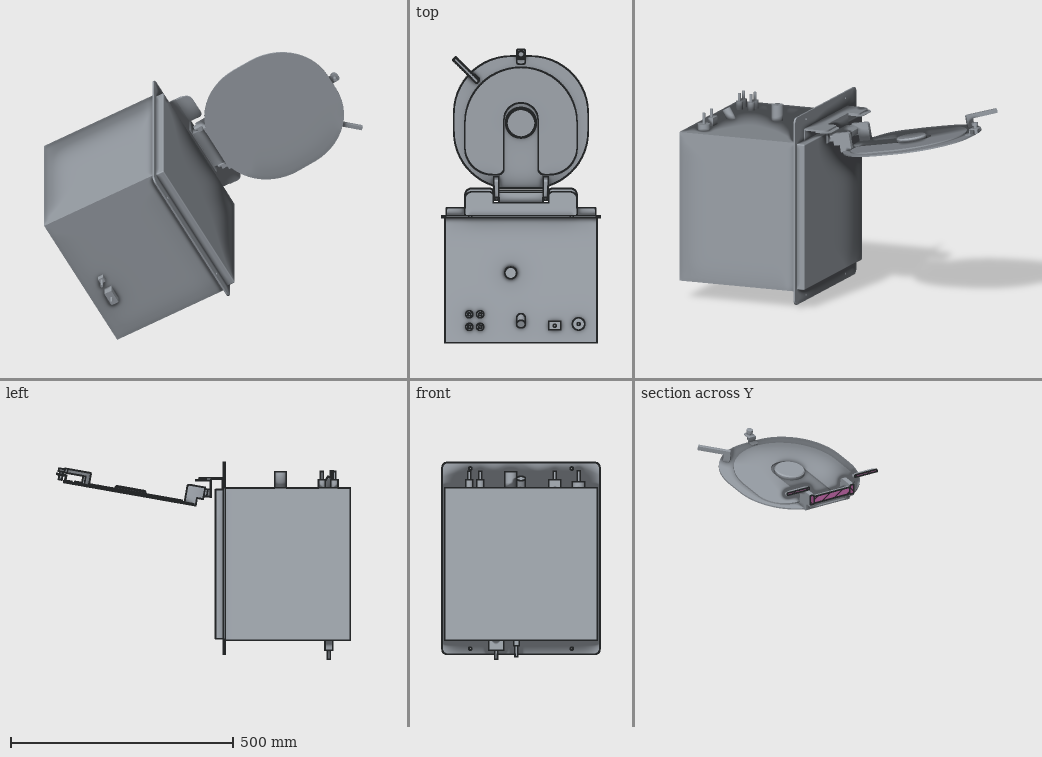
import cadquery as cq
import math


BOX_SIZE = 343.0
BOX_DEPTH = 281.5
PLATE_WIDTH = 355.5
PLATE_HEIGHT = 432.0
PLATE_THICKNESS = 4.0
PLATE_DROP = 32.0
PLATE_CORNER = 12.5
HOLE_DIAMETER = 6.0
HOLE_SPACING = 228.5
HOLE_LOW_Z = -18.5
HOLE_HIGH_Z = 386.5
FRONT_INSET = 3.0
FRONT_Y = 22.5
FRONT_FILLET = 2.5

SHELF_HALF = 126.0
SHELF_TOP = 366.0
SHELF_THICKNESS = 4.0
SHELF_Y = 58.0
SHELF_BOTTOM = SHELF_TOP - SHELF_THICKNESS
LIP_Y = 66.0
LIP_THICKNESS = 2.5
LIP_SLOPE_DROP = 1.0
SHELF_OUTER_CORNER = 16.0
SHELF_NOTCH_CORNER = 9.0
NOTCH_HALF = 62.0
FLANGE_THICKNESS = 2.5
WALL_FRONT = 34.0
WALL_THICKNESS = 2.0
NOTCH_Y = WALL_FRONT - WALL_THICKNESS
WALL_BOTTOM = 322.0
BAR_HALF = 49.5
BAR_FRONT = 62.0
BAR_BOTTOM = 323.0
BAR_TOP = 340.0
BAR_CHAMFER = 5.0

STEM_RADIUS = 3.0
PIPE_RADIUS = 13.0
PIPE_HEIGHT = 36.5
PIPE_CENTRE = (-23.0, -124.0)
CONNECTOR_RADIUS = 8.0
COLLAR_HEIGHT = 18.5
STEM_HEIGHT = 37.0
CONNECTOR_XS = (-116.0, -92.0)
CONNECTOR_YS = (-217.5, -246.0)
SOCKET_SIZE = (27.0, 19.0)
SOCKET_CENTRE = (76.0, -243.0)
KNOB_RADIUS = 14.0
KNOB_CENTRE = (129.5, -239.0)
KNOB_HEIGHT = 14.0
KNOB_STEM_HEIGHT = 39.0
SPOUT_RADIUS = 10.0
SPOUT_BASE_Y = -227.0
SPOUT_LEAN = 30
SPOUT_RISE = 21.0
LOWER_Y = -233.0
DRAIN_X = -56.0
DRAIN_SIZE = (34.0, 18.0)
DRAIN_HEIGHT = 22.5
DRAIN_STEM_HEIGHT = 43.0
VALVE_X = -10.5
VALVE_SIZE = (12.5, 12.5)
VALVE_HEIGHT = 12.5
VALVE_STEM_HEIGHT = 37.0

DOOR_TILT = 10
DOOR_CENTRE = (0, 215.0, 329.0)
DOOR_SIZE = 302.5
DOOR_CORNER = 130.0
DOOR_LOWER_EDGE = -150.0
SHEET_THICKNESS = 3.0
PANEL_THICKNESS = 3.0
PANEL_RADIUS = 126.0
PANEL_BOTTOM = -119.0
PANEL_CORNER = 61.5
SLOT_HALF = 38.0
SLOT_TOP = 45.0
SLOT_MOUTH_RADIUS = 14.0
DISC_RADIUS = 34.5
DISC_TOP = 13.0
DISC_CHAMFER = 2.5
ARM_INNER = BAR_HALF
ARM_WIDTH = 11.0
ARM_BACK = -124.0
ARM_FOOT_FRONT = -150.5
ARM_TIP = -164.5
ARM_TOP = 44.0
ARM_UNDERSIDE = 17.0
ARM_ROUND = 5.0
KNUCKLE_TIP = -171.0
KNUCKLE_BOTTOM = 25.0
KNUCKLE_TOP = 41.0
KNUCKLE_WIDTH = 9.0
KNUCKLE_ROUND = 4.0
HANDLE_ANGLE = 135
HANDLE_START = 137.0
HANDLE_END = 212.0
HANDLE_WIDTH = 8.5
HANDLE_TOP = 32.0
HANDLE_UNDERSIDE = 22.0
HANDLE_POST = 15.0
HANDLE_ROUND = 3.0
LATCH_WIDTH = 20.0
LATCH_SHEET = 2.0
LATCH_BASE_START = 133.5
LATCH_WALL_END = 149.0
LATCH_SHELF_END = 170.0
LATCH_SHELF_TOP = 17.0
LATCH_ROUND = 5.0
BOLT_CENTRE = 160.0
BOLT_RADIUS = 4.0
BOLT_BOTTOM = 4.5
BOLT_HEAD_RADIUS = 7.0
BOLT_HEAD_BOTTOM = 23.0
BOLT_HEAD_TOP = 30.0

PICK_MARGIN = 0.5


def block(x0, x1, y0, y1, z0, z1):
    """Box given by its limits along X, Y and Z."""
    return cq.Workplane("XY").box(x1 - x0, y1 - y0, z1 - z0, centered=False).translate((x0, y0, z0))


def post(centre, radius, z0, z1):
    """Upright cylinder from z0 to z1."""
    return cq.Workplane("XY").workplane(offset=z0).center(*centre).circle(radius).extrude(z1 - z0)


def square_fitting(centre, size, z0, z1):
    """Upright rectangular fitting from z0 to z1."""
    return cq.Workplane("XY").workplane(offset=z0).center(*centre).rect(*size).extrude(z1 - z0)


def near_x_limits(half, y, z0, z1):
    """Selector for the edges around Y = y that lie within X = -half to half."""
    margin = PICK_MARGIN
    return cq.selectors.BoxSelector((-half - margin, y - margin, z0 - margin),
                                    (half + margin, y + margin, z1 + margin))


def make_plate():
    plate = block(-PLATE_WIDTH / 2, PLATE_WIDTH / 2, 0, PLATE_THICKNESS,
                  -PLATE_DROP, PLATE_HEIGHT - PLATE_DROP)
    plate = plate.edges("|Y").fillet(PLATE_CORNER)
    hole_places = [(side * HOLE_SPACING / 2, z) for side in (-1, 1) for z in (HOLE_LOW_Z, HOLE_HIGH_Z)]
    holes = cq.Workplane("XZ").pushPoints(hole_places).circle(HOLE_DIAMETER / 2)
    return plate.cut(holes.extrude(-PLATE_THICKNESS))


def make_raised_front():
    half = BOX_SIZE / 2 - FRONT_INSET
    front = block(-half, half, 0, FRONT_Y, FRONT_INSET, BOX_SIZE - FRONT_INSET)
    return front.edges("|Y or >Y").fillet(FRONT_FILLET)


def shelf_outline(front_y, z0, z1):
    """Rounded shelf with a central notch, from the plate out to front_y."""
    shelf = block(-SHELF_HALF, SHELF_HALF, 0, front_y, z0, z1)
    shelf = shelf.edges("|Z and >Y").fillet(SHELF_OUTER_CORNER)
    shelf = shelf.cut(block(-NOTCH_HALF, NOTCH_HALF, NOTCH_Y, front_y, z0, z1))
    mouth = near_x_limits(NOTCH_HALF, front_y, z0, z1)
    return shelf.edges("|Z").edges(mouth).fillet(SHELF_NOTCH_CORNER)


def make_hinge_shelf():
    shelf = shelf_outline(SHELF_Y, SHELF_BOTTOM, SHELF_TOP)
    lip_bottom = SHELF_BOTTOM - LIP_THICKNESS
    lip_slope = (
        cq.Workplane("YZ").workplane(offset=-SHELF_HALF)
        .moveTo(NOTCH_Y, lip_bottom)
        .lineTo(LIP_Y, lip_bottom)
        .lineTo(LIP_Y, SHELF_BOTTOM - LIP_SLOPE_DROP)
        .lineTo(SHELF_Y, SHELF_BOTTOM)
        .lineTo(NOTCH_Y, SHELF_BOTTOM)
        .close().extrude(2 * SHELF_HALF)
    )
    lip = shelf_outline(LIP_Y, lip_bottom, SHELF_BOTTOM).intersect(lip_slope)
    flange = block(-SHELF_HALF, SHELF_HALF, 0, PLATE_THICKNESS + FLANGE_THICKNESS,
                   BOX_SIZE - 2 * FRONT_INSET, SHELF_BOTTOM)
    wall = block(-NOTCH_HALF, NOTCH_HALF, NOTCH_Y, WALL_FRONT, WALL_BOTTOM, SHELF_TOP)
    bar = block(-BAR_HALF, BAR_HALF, WALL_FRONT, BAR_FRONT, BAR_BOTTOM, BAR_TOP)
    bar = bar.edges(">Y and >Z").chamfer(BAR_CHAMFER)
    return shelf.union(lip).union(flange).union(wall).union(bar)


def make_spout():
    lean = math.radians(SPOUT_LEAN)
    axis = cq.Plane(origin=(0, SPOUT_BASE_Y, BOX_SIZE), xDir=(1, 0, 0),
                    normal=(0, -math.sin(lean), math.cos(lean)))
    length = SPOUT_RISE / math.cos(lean)
    buried = SPOUT_RADIUS
    return cq.Workplane(axis).workplane(offset=-buried).circle(SPOUT_RADIUS).extrude(length + buried)


def make_fittings():
    top = BOX_SIZE
    fittings = [
        post(PIPE_CENTRE, PIPE_RADIUS, top, top + PIPE_HEIGHT),
        square_fitting(SOCKET_CENTRE, SOCKET_SIZE, top, top + COLLAR_HEIGHT),
        post(SOCKET_CENTRE, STEM_RADIUS, top, top + STEM_HEIGHT),
        post(KNOB_CENTRE, KNOB_RADIUS, top, top + KNOB_HEIGHT),
        post(KNOB_CENTRE, STEM_RADIUS, top, top + KNOB_STEM_HEIGHT),
        make_spout(),
    ]
    for x in CONNECTOR_XS:
        for y in CONNECTOR_YS:
            fittings.append(post((x, y), CONNECTOR_RADIUS, top, top + COLLAR_HEIGHT))
            fittings.append(post((x, y), STEM_RADIUS, top, top + STEM_HEIGHT))
    for x, size, height, stem_height in (
        (DRAIN_X, DRAIN_SIZE, DRAIN_HEIGHT, DRAIN_STEM_HEIGHT),
        (VALVE_X, VALVE_SIZE, VALVE_HEIGHT, VALVE_STEM_HEIGHT),
    ):
        fittings.append(square_fitting((x, LOWER_Y), size, -height, 0))
        fittings.append(post((x, LOWER_Y), STEM_RADIUS, -stem_height, 0))
    return fittings


def make_housing():
    half = BOX_SIZE / 2
    housing = block(-half, half, -BOX_DEPTH, 0, 0, BOX_SIZE)
    for feature in (make_plate(), make_raised_front(), make_hinge_shelf(), *make_fittings()):
        housing = housing.union(feature)
    return housing


def make_panel():
    """Raised door panel: half-round on top, slotted from below."""
    height = SHEET_THICKNESS + PANEL_THICKNESS
    slot_arc_centre = SLOT_TOP - SLOT_HALF
    panel = (
        cq.Workplane("XY")
        .moveTo(-PANEL_RADIUS, 0)
        .threePointArc((0, PANEL_RADIUS), (PANEL_RADIUS, 0))
        .lineTo(PANEL_RADIUS, PANEL_BOTTOM)
        .lineTo(SLOT_HALF, PANEL_BOTTOM)
        .lineTo(SLOT_HALF, slot_arc_centre)
        .threePointArc((0, SLOT_TOP), (-SLOT_HALF, slot_arc_centre))
        .lineTo(-SLOT_HALF, PANEL_BOTTOM)
        .lineTo(-PANEL_RADIUS, PANEL_BOTTOM)
        .close().extrude(height)
    )
    panel = panel.edges("|Z and <Y").edges("<X or >X").fillet(PANEL_CORNER)
    mouth = near_x_limits(SLOT_HALF, PANEL_BOTTOM, 0, height)
    return panel.edges("|Z").edges(mouth).fillet(SLOT_MOUTH_RADIUS)


def make_arm(side):
    """Hinge arm standing on the lower edge of the door; side is -1 or 1."""
    middle = side * (ARM_INNER + ARM_WIDTH / 2)
    arm = (
        cq.Workplane("YZ").workplane(offset=middle)
        .polyline([
            (ARM_BACK, 0),
            (ARM_BACK, ARM_TOP),
            (ARM_TIP, ARM_TOP),
            (ARM_TIP, ARM_UNDERSIDE),
            (ARM_FOOT_FRONT, ARM_UNDERSIDE),
            (ARM_FOOT_FRONT, 0),
        ])
        .close().extrude(ARM_WIDTH / 2, both=True)
        .edges("|X and >Y and >Z").fillet(ARM_ROUND)
    )
    knuckle = block(middle - KNUCKLE_WIDTH / 2, middle + KNUCKLE_WIDTH / 2,
                    KNUCKLE_TIP, ARM_TIP, KNUCKLE_BOTTOM, KNUCKLE_TOP)
    return arm.union(knuckle.edges("|Y").fillet(KNUCKLE_ROUND))


def make_handle():
    """Bent bar reaching outwards past the rim of the door."""
    handle = (
        cq.Workplane("XZ")
        .polyline([
            (HANDLE_START, 0),
            (HANDLE_START, HANDLE_TOP),
            (HANDLE_END, HANDLE_TOP),
            (HANDLE_END, HANDLE_UNDERSIDE),
            (HANDLE_START + HANDLE_POST, HANDLE_UNDERSIDE),
            (HANDLE_START + HANDLE_POST, 0),
        ])
        .close().extrude(HANDLE_WIDTH / 2, both=True)
        .edges("|Y and <X and >Z").fillet(HANDLE_ROUND)
    )
    return handle.rotate((0, 0, 0), (0, 0, 1), HANDLE_ANGLE)


def make_latch():
    """Bent bracket on the upper edge of the door, carrying a bolt."""
    half = LATCH_WIDTH / 2
    wall_start = LATCH_WALL_END - LATCH_SHEET
    base = block(-half, half, LATCH_BASE_START, LATCH_WALL_END, 0, SHEET_THICKNESS + LATCH_SHEET)
    base = base.edges("|Z and <Y").fillet(LATCH_ROUND)
    wall = block(-half, half, wall_start, LATCH_WALL_END, 0, LATCH_SHELF_TOP)
    shelf = block(-half, half, wall_start, LATCH_SHELF_END, LATCH_SHELF_TOP - LATCH_SHEET, LATCH_SHELF_TOP)
    shelf = shelf.edges("|Z and >Y").fillet(LATCH_ROUND)
    bolt = post((0, BOLT_CENTRE), BOLT_RADIUS, BOLT_BOTTOM, BOLT_HEAD_TOP)
    head = post((0, BOLT_CENTRE), BOLT_HEAD_RADIUS, BOLT_HEAD_BOTTOM, BOLT_HEAD_TOP)
    return base.union(wall).union(shelf).union(bolt).union(head)


def make_door():
    half = DOOR_SIZE / 2
    door = block(-half, half, -half, half, 0, SHEET_THICKNESS).edges("|Z").fillet(DOOR_CORNER)
    door = door.cut(block(-half, half, -half, DOOR_LOWER_EDGE, 0, SHEET_THICKNESS))
    door = door.union(block(-ARM_INNER, ARM_INNER, DOOR_LOWER_EDGE, 0, 0, SHEET_THICKNESS))
    disc = post((0, 0), DISC_RADIUS, 0, DISC_TOP).faces(">Z").chamfer(DISC_CHAMFER)
    for feature in (make_panel(), disc, make_arm(-1), make_arm(1), make_handle(), make_latch()):
        door = door.union(feature)
    return door.rotate((0, 0, 0), (1, 0, 0), DOOR_TILT).translate(DOOR_CENTRE)


housing = make_housing()
door = make_door()

result = cq.Compound.makeCompound([housing.solids().val(), door.solids().val()])